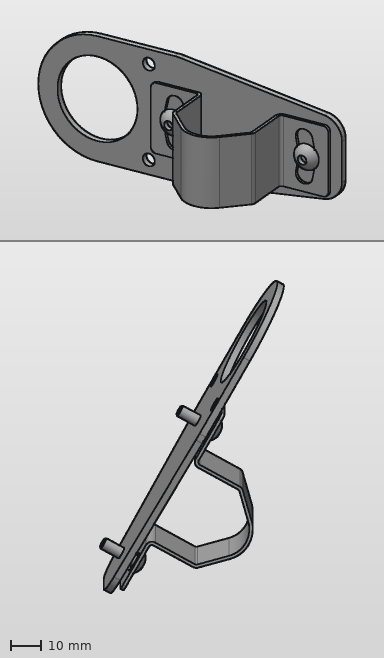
import cadquery as cq
import math


plate_length = 118.0
plate_round_radius = 23.0
plate_thickness = 2.5
shoulder_x = 31.2
shoulder_radius = 18.9
corner_margin = 1.2
plate_end_x = plate_length - plate_round_radius
plate_end_half_height = 14.5
plate_end_radius = 8.0
large_hole_diameter = 31.0
small_hole_diameter = 4.6
small_hole_x = 20.0
small_hole_z = 17.6

clamp_center_x = 57.0
clamp_length = 68.9
clamp_height = 26.0
clamp_depth = 29.7
strap_thickness = 1.2
clamp_gap = 1.8
clamp_half_width = 15.8
nose_radius = 10.5
bend_outer_radius = 2.2
bend_inner_radius = bend_outer_radius - strap_thickness
flange_corner_radius = 2.0
clamp_back_y = -clamp_gap
flange_front_y = clamp_back_y - strap_thickness

screw_offset = 26.0
slot_half_width = 3.3
slot_half_angle = 15.0

shank_radius = 2.0
shank_end_y = 9.8
tip_chamfer = 0.5
head_radius = 4.8
dome_height = 3.1
socket_radius = 1.7
socket_depth = 2.4

sides = (-1, 1)


def plane_facing_back(y, x=0):
    """Plane at position y whose local axes are X and -Z, with its normal along +Y."""
    return cq.Plane(origin=(x, y, 0), xDir=(1, 0, 0), normal=(0, 1, 0))


def make_plate():
    body = (
        cq.Workplane(plane_facing_back(0))
        .moveTo(0, plate_round_radius)
        .lineTo(shoulder_x, plate_round_radius)
        .lineTo(plate_end_x, plate_end_half_height)
        .lineTo(plate_end_x, -plate_end_half_height)
        .lineTo(shoulder_x, -plate_round_radius)
        .lineTo(0, -plate_round_radius)
        .threePointArc((-plate_round_radius, 0), (0, plate_round_radius))
        .close()
        .extrude(plate_thickness)
    )
    body = body.edges("|Y and >X").fillet(plate_end_radius)
    shoulder_box = cq.selectors.BoxSelector(
        (shoulder_x - corner_margin, -plate_length, -plate_length),
        (shoulder_x + corner_margin, plate_length, plate_length),
    )
    body = body.edges("|Y").edges(shoulder_box).fillet(shoulder_radius)
    holes = (
        cq.Workplane(plane_facing_back(0))
        .circle(large_hole_diameter / 2)
        .pushPoints([(small_hole_x, side * small_hole_z) for side in sides])
        .circle(small_hole_diameter / 2)
        .extrude(plate_thickness)
    )
    return body.cut(holes)


def make_screw(x):
    """Dome-headed screw along Y, with the head seated on the flange."""
    shank = (
        cq.Workplane(plane_facing_back(flange_front_y, x))
        .circle(shank_radius)
        .extrude(shank_end_y - flange_front_y)
        .faces(">Y")
        .chamfer(tip_chamfer)
    )
    dome_radius = (head_radius**2 + dome_height**2) / (2 * dome_height)
    sphere_y = flange_front_y - dome_height + dome_radius
    dome = cq.Workplane("XY").sphere(dome_radius).translate((x, sphere_y, 0))
    behind_seat = (
        cq.Workplane(plane_facing_back(flange_front_y, x))
        .circle(2 * dome_radius)
        .extrude(2 * dome_radius)
    )
    socket = (
        cq.Workplane(plane_facing_back(flange_front_y - dome_height, x))
        .circle(socket_radius)
        .extrude(socket_depth)
    )
    return shank.union(dome.cut(behind_seat)).cut(socket)


def make_plate_with_screws():
    """Backing plate with both screws fixed in it as one body."""
    body = make_plate()
    for side in sides:
        body = body.union(make_screw(clamp_center_x + side * screw_offset))
    return body


def hat_profile(half_width, flange_y, radius, shoulder_bend, leg_bend):
    """Solid behind one surface of the strap, which has flanges, legs, 45 degree sides and a nose."""
    nose_y = clamp_back_y - clamp_depth + nose_radius - radius
    tangent = radius * math.sin(math.radians(45))
    tangent_y = nose_y + radius - tangent
    corner_y = tangent_y + half_width - tangent
    top_y = flange_y + clamp_depth
    half_length = clamp_length / 2
    body = (
        cq.Workplane("XY", origin=(clamp_center_x, 0, -clamp_height / 2))
        .moveTo(-half_length, top_y)
        .lineTo(-half_length, flange_y)
        .lineTo(-half_width, flange_y)
        .lineTo(-half_width, corner_y)
        .lineTo(-tangent, tangent_y)
        .threePointArc((0, nose_y), (tangent, tangent_y))
        .lineTo(half_width, corner_y)
        .lineTo(half_width, flange_y)
        .lineTo(half_length, flange_y)
        .lineTo(half_length, top_y)
        .close()
        .extrude(clamp_height)
    )
    for bend_y, bend_radius in ((flange_y, shoulder_bend), (corner_y, leg_bend)):
        for side in sides:
            point = (clamp_center_x + side * half_width, bend_y, 0)
            body = body.edges("|Z").edges(cq.NearestToPointSelector(point)).fillet(bend_radius)
    return body


def make_slots():
    """Arc-shaped slots with round ends, one through each flange."""
    angle = math.radians(slot_half_angle)
    inner = screw_offset - slot_half_width
    outer = screw_offset + slot_half_width

    def polar(radius, side, turn):
        return (side * radius * math.cos(turn), radius * math.sin(turn))

    slots = cq.Workplane(plane_facing_back(flange_front_y, clamp_center_x))
    for side in sides:
        slots = (
            slots.moveTo(*polar(inner, side, -angle))
            .threePointArc((side * inner, 0), polar(inner, side, angle))
            .tangentArcPoint(polar(outer, side, angle), relative=False)
            .threePointArc((side * outer, 0), polar(outer, side, -angle))
            .tangentArcPoint(polar(inner, side, -angle), relative=False)
            .close()
        )
    return slots.extrude(strap_thickness)


def make_clamp():
    outside = hat_profile(
        clamp_half_width, flange_front_y, nose_radius, bend_inner_radius, bend_outer_radius
    )
    inside = hat_profile(
        clamp_half_width - strap_thickness, clamp_back_y, nose_radius - strap_thickness,
        bend_outer_radius, bend_inner_radius,
    )
    strap = outside.cut(inside)
    strap = strap.edges("|Y and (<X or >X)").fillet(flange_corner_radius)
    return strap.cut(make_slots())


plate_with_screws = make_plate_with_screws()
clamp = make_clamp()
result = cq.Compound.makeCompound([plate_with_screws.val(), clamp.val()])